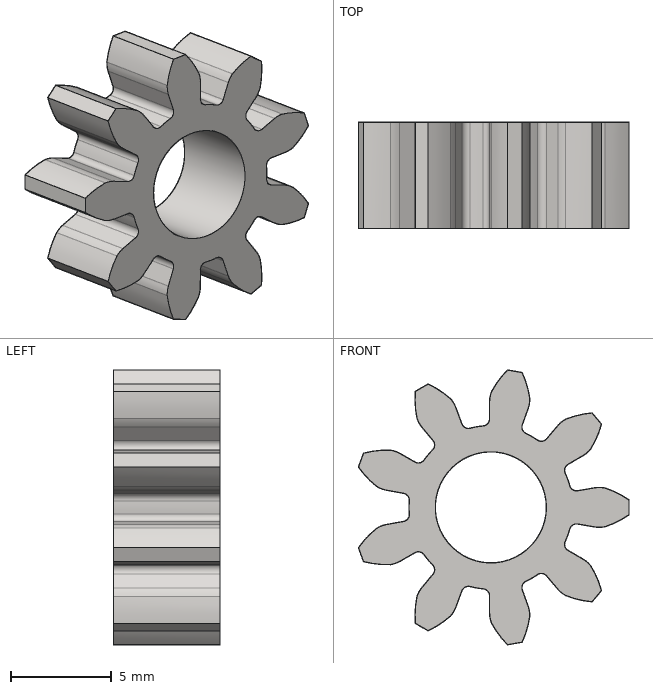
import cadquery as cq
import math

tooth_count = 9
face_width = 5.3
bore_diameter = 5.5
root_radius = 4.07
root_fillet = 0.34

tip_reach, tip_half = 6.87, 0.37
shoulder_reach, shoulder_half = 5.66, 0.97
crest_reach, crest_half = 5.43, 1.0
waist_reach, waist_half = 5.19, 0.98
foot_half = 0.78
flank_bow = 0.05

foot_reach = math.sqrt(root_radius**2 - foot_half**2)
pitch_angle = 360 / tooth_count


def make_tooth():
    """One tooth, symmetric about its centre line, joined to the axis."""
    bow_reach = (tip_reach + shoulder_reach) / 2
    bow_half = (tip_half + shoulder_half) / 2 + flank_bow
    return (
        cq.Workplane("XZ", origin=(0, face_width / 2, 0))
        .moveTo(0, -foot_half)
        .lineTo(foot_reach, -foot_half)
        .lineTo(waist_reach, -waist_half)
        .threePointArc((crest_reach, -crest_half), (shoulder_reach, -shoulder_half))
        .threePointArc((bow_reach, -bow_half), (tip_reach, -tip_half))
        .lineTo(tip_reach, tip_half)
        .threePointArc((bow_reach, bow_half), (shoulder_reach, shoulder_half))
        .threePointArc((crest_reach, crest_half), (waist_reach, waist_half))
        .lineTo(foot_reach, foot_half)
        .lineTo(0, foot_half)
        .close()
        .extrude(face_width)
    )


def round_tooth_roots(gear):
    """Fillet the inside corners where the flanks meet the root circle."""
    tolerance = 0.007
    inner = root_radius - tolerance
    outer = root_radius + tolerance
    corners = [
        edge
        for edge in gear.edges("|Y").vals()
        if inner < math.hypot(edge.Center().x, edge.Center().z) < outer
    ]
    return gear.newObject(corners).fillet(root_fillet)


gear = cq.Workplane("XZ", origin=(0, face_width / 2, 0)).circle(root_radius).extrude(face_width)
tooth = make_tooth()
for index in range(tooth_count):
    gear = gear.union(tooth.rotate((0, 0, 0), (0, 1, 0), index * pitch_angle))
gear = round_tooth_roots(gear.clean())

bore = (
    cq.Workplane("XZ", origin=(0, face_width / 2, 0))
    .circle(bore_diameter / 2)
    .extrude(face_width)
)
result = gear.cut(bore)